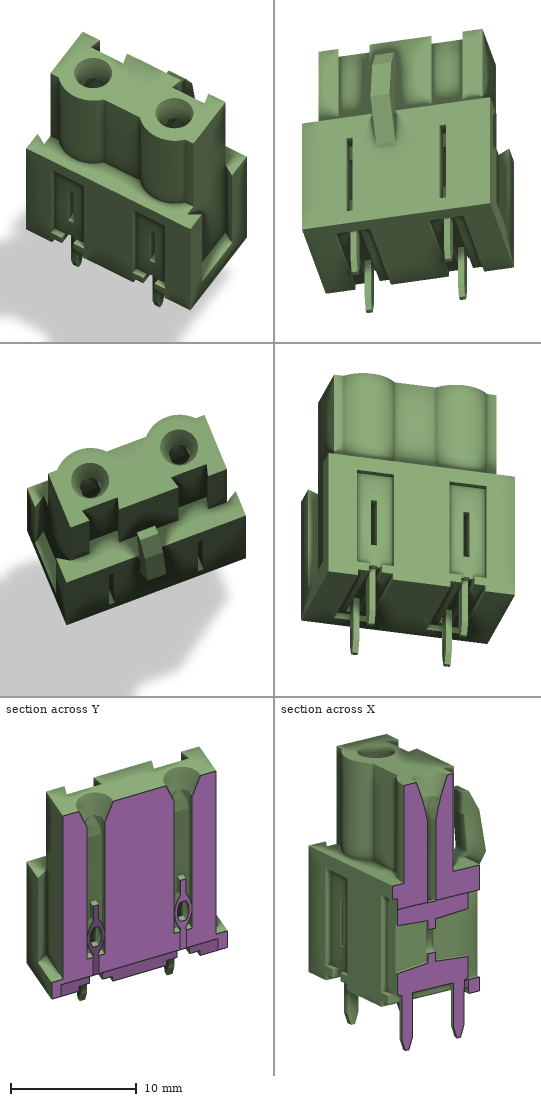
import cadquery as cq


HOUSING_WIDTH = 15.35
HOUSING_DEPTH = 8.53
HOUSING_HEIGHT = 10.69
TOWER_TOP = 18.97
TOWER_WIDTH = 13.36
TOWER_FRONT = 2.05
TOWER_BACK = 6.93

PITCH = 7.6
CONTACT_XS = (-PITCH / 2, PITCH / 2)
SOCKET_Y = 3.85
BARREL_Y = 3.94
BARREL_RADIUS = 2.84

KEYWAY_DEPTH = 1.0
KEYWAY_MOUTH = 2.52
KEYWAY_FLOOR = 3.05

GROOVE_FLOOR_FRONT = BARREL_Y - BARREL_RADIUS
GROOVE_MOUTH_FRONT = 1.73
GROOVE_MOUTH_BACK = 6.3
GROOVE_BOTTOM = 1.8

MOUTH_DIAMETER = 3.02
THROAT_DIAMETER = 1.66
MOUTH_DEPTH = 1.8
FUNNEL_SHOULDER = 1.15
FUNNEL_STEP = 0.9
POCKET_WIDTH = 1.53
POCKET_DEPTH = 0.76

WINDOW_WIDTH = 3.04
WINDOW_TOP = 9.5
WINDOW_DEPTH = 0.5

LATCH_WIDTH = 1.55
LATCH_X = 0.8
LATCH_ROOT_Z = 7.22
LATCH_ROOT_FILLET = 0.45
LATCH_ELBOW_Y = 10.75
LATCH_BEND_Y = 10.1
LATCH_BEND_Z = 14.33
LATCH_TIP_Y = 9.07
LATCH_TOP = 16.13
LATCH_HOOK_Y = 8.37
LATCH_HOOK_ROOT_Y = 8.6
LATCH_INNER_FOOT_Y = 8.93
LATCH_EMBED = 0.68

PLATE_WIDTH = 13.65
PLATE_DEPTH = 7.42
PLATE_HEIGHT = 1.22
PLATE_SLOT_WIDTH = 1.05
PLATE_NOTCH_WIDTH = 2.88
PLATE_NOTCH_HEIGHT = 0.52

CONTACT_THICKNESS = 0.5
CONTACT_FRONT = WINDOW_DEPTH
CONTACT_BACK = PLATE_DEPTH
CONTACT_TOP = 8.55
CONTACT_SHOULDER = 1.35
UPPER_BAR_EDGE = 7.2
UPPER_BAR_BOTTOM = 7.0
LOWER_BAR_EDGE = 3.17
LOWER_BAR_TOP = 3.45
LEG_WIDTH = 1.08
LEG_FRONT = 0.9
LEG_PITCH = 5.05
LEG_TAPER_Z = -2.52
OVERALL_HEIGHT = 22.5
LEG_BOTTOM = TOWER_TOP - OVERALL_HEIGHT
LEG_TIP_WIDTH = 0.38
SPRING_THICKNESS = 0.27
SPRING_NECK = 0.79

LEG_BACK = LEG_FRONT + LEG_PITCH + LEG_WIDTH


def box(width, depth, height, x, front, bottom):
    """Box centred on x that runs back from `front` and up from `bottom`."""
    return (
        cq.Workplane("XY")
        .box(width, depth, height, centered=(True, False, False))
        .translate((x, front, bottom))
    )


def slab_across_x(points, width, x):
    """Outline of (y, z) points given a thickness along X, centred on x."""
    return cq.Workplane("YZ").polyline(points).close().extrude(width / 2, both=True).translate((x, 0, 0))


def make_tower():
    """Raised block with a rounded barrel in front of each socket and a keyway behind it."""
    height = TOWER_TOP - HOUSING_HEIGHT
    tower = box(TOWER_WIDTH, TOWER_BACK - TOWER_FRONT, height, 0, TOWER_FRONT, HOUSING_HEIGHT)
    keyway_floor_y = TOWER_BACK - KEYWAY_DEPTH
    for x in CONTACT_XS:
        barrel = (
            cq.Workplane("XY", origin=(x, BARREL_Y, HOUSING_HEIGHT))
            .circle(BARREL_RADIUS)
            .extrude(height)
        )
        keyway = (
            cq.Workplane("XY", origin=(x, 0, HOUSING_HEIGHT))
            .polyline([
                (-KEYWAY_MOUTH / 2, TOWER_BACK),
                (-KEYWAY_FLOOR / 2, keyway_floor_y),
                (KEYWAY_FLOOR / 2, keyway_floor_y),
                (KEYWAY_MOUTH / 2, TOWER_BACK),
            ])
            .close()
            .extrude(height)
        )
        tower = tower.union(barrel).cut(keyway)
    return tower


def make_end_groove():
    """Dovetail groove at the +X end, widest at its floor and open at the top."""
    return (
        cq.Workplane("XY", origin=(0, 0, GROOVE_BOTTOM))
        .polyline([
            (TOWER_WIDTH / 2, GROOVE_FLOOR_FRONT),
            (HOUSING_WIDTH / 2, GROOVE_MOUTH_FRONT),
            (HOUSING_WIDTH / 2, GROOVE_MOUTH_BACK),
            (TOWER_WIDTH / 2, TOWER_BACK),
        ])
        .close()
        .extrude(HOUSING_HEIGHT - GROOVE_BOTTOM)
    )


def make_latch():
    """Bent latch arm on the back face, with a small hook at its tip."""
    inside_y = HOUSING_DEPTH - LATCH_EMBED
    latch = slab_across_x(
        [
            (inside_y, LATCH_ROOT_Z),
            (HOUSING_DEPTH, LATCH_ROOT_Z),
            (LATCH_ELBOW_Y, HOUSING_HEIGHT),
            (LATCH_BEND_Y, LATCH_BEND_Z),
            (LATCH_TIP_Y, LATCH_TOP),
            (LATCH_HOOK_Y, LATCH_TOP),
            (LATCH_HOOK_Y, LATCH_BEND_Z),
            (LATCH_HOOK_ROOT_Y, LATCH_BEND_Z),
            (LATCH_INNER_FOOT_Y, HOUSING_HEIGHT),
            (inside_y, HOUSING_HEIGHT),
        ],
        LATCH_WIDTH,
        LATCH_X,
    )
    root_corner = cq.selectors.NearestToPointSelector((LATCH_X, LATCH_INNER_FOOT_Y, HOUSING_HEIGHT))
    return latch.edges("|X").edges(root_corner).fillet(LATCH_ROOT_FILLET)


def make_socket(x):
    """Conical mouth, then a funnel that narrows front to back into the spring pocket."""
    throat_z = TOWER_TOP - MOUTH_DEPTH
    throat_centre = cq.Vector(x, SOCKET_Y, throat_z)
    mouth = cq.Workplane(
        cq.Solid.makeCone(THROAT_DIAMETER / 2, MOUTH_DIAMETER / 2, MOUTH_DEPTH, throat_centre)
    )
    shoulder_z = throat_z - FUNNEL_STEP
    neck_z = shoulder_z - FUNNEL_STEP
    funnel = slab_across_x(
        [
            (SOCKET_Y - THROAT_DIAMETER / 2, throat_z),
            (SOCKET_Y - FUNNEL_SHOULDER / 2, shoulder_z),
            (SOCKET_Y - POCKET_DEPTH / 2, neck_z),
            (SOCKET_Y + POCKET_DEPTH / 2, neck_z),
            (SOCKET_Y + FUNNEL_SHOULDER / 2, shoulder_z),
            (SOCKET_Y + THROAT_DIAMETER / 2, throat_z),
        ],
        POCKET_WIDTH,
        x,
    )
    throat = (
        cq.Workplane("XY", origin=(x, SOCKET_Y, neck_z))
        .circle(THROAT_DIAMETER / 2)
        .extrude(throat_z - neck_z)
    )
    pocket = box(
        POCKET_WIDTH, POCKET_DEPTH, neck_z - LOWER_BAR_EDGE,
        x, SOCKET_Y - POCKET_DEPTH / 2, LOWER_BAR_EDGE,
    )
    return mouth.union(funnel.intersect(throat)).union(pocket)


def make_housing():
    """Housing block with tower, latch, end grooves and everything cut for the other bodies."""
    housing = box(HOUSING_WIDTH, HOUSING_DEPTH, HOUSING_HEIGHT, 0, 0, 0)
    housing = housing.union(make_tower()).union(make_latch())

    groove = make_end_groove()
    housing = housing.cut(groove).cut(groove.mirror("YZ"))

    plate_recess = box(PLATE_WIDTH, PLATE_DEPTH, PLATE_HEIGHT, 0, 0, 0)
    housing = housing.cut(plate_recess)

    for x in CONTACT_XS:
        window = box(WINDOW_WIDTH, WINDOW_DEPTH, WINDOW_TOP - PLATE_HEIGHT, x, 0, PLATE_HEIGHT)
        contact_slot = box(CONTACT_THICKNESS, HOUSING_DEPTH, CONTACT_TOP - PLATE_HEIGHT, x, 0, PLATE_HEIGHT)
        housing = housing.cut(window).cut(contact_slot).cut(make_socket(x))
    return housing


def make_base_plate():
    """Plate flush with the front face, slotted for the contact legs and relieved below each slot."""
    plate = box(PLATE_WIDTH, PLATE_DEPTH, PLATE_HEIGHT, 0, 0, 0)
    for x in CONTACT_XS:
        slot = box(PLATE_SLOT_WIDTH, LEG_BACK, PLATE_HEIGHT, x, 0, 0)
        notch = box(PLATE_NOTCH_WIDTH, PLATE_DEPTH, PLATE_NOTCH_HEIGHT, x, 0, 0)
        plate = plate.cut(slot).cut(notch)
    return plate


def make_leg(x, front):
    """Flat leg with a tapered tip."""
    middle = front + LEG_WIDTH / 2
    return slab_across_x(
        [
            (front, CONTACT_SHOULDER),
            (front, LEG_TAPER_Z),
            (middle - LEG_TIP_WIDTH / 2, LEG_BOTTOM),
            (middle + LEG_TIP_WIDTH / 2, LEG_BOTTOM),
            (front + LEG_WIDTH, LEG_TAPER_Z),
            (front + LEG_WIDTH, CONTACT_SHOULDER),
        ],
        CONTACT_THICKNESS,
        x,
    )


def spring_outline(x, bow, bottom, top):
    """Solid barrel shape, `bow` from the middle to each side and as wide as the bars at its ends."""
    half = CONTACT_THICKNESS / 2
    middle_z = (bottom + top) / 2
    return (
        cq.Workplane("XZ", origin=(x, SOCKET_Y, 0))
        .moveTo(half, top)
        .lineTo(-half, top)
        .threePointArc((-bow, middle_z), (-half, bottom))
        .lineTo(half, bottom)
        .threePointArc((bow, middle_z), (half, top))
        .close()
        .extrude(POCKET_DEPTH / 2, both=True)
    )


def make_spring(x):
    """Closed loop that joins the two bars, with a leaf bowed out to each side."""
    bow = POCKET_WIDTH / 2
    loop = spring_outline(x, bow, LOWER_BAR_TOP, UPPER_BAR_BOTTOM)
    opening = spring_outline(
        x, bow - SPRING_THICKNESS, LOWER_BAR_TOP + SPRING_NECK, UPPER_BAR_BOTTOM - SPRING_NECK
    )
    return loop.cut(opening)


def make_contact(x):
    """Upper and lower bars joined by the spring, with two legs below."""
    leaf_front = SOCKET_Y - POCKET_DEPTH / 2
    leaf_back = SOCKET_Y + POCKET_DEPTH / 2
    upper_bar = slab_across_x(
        [
            (CONTACT_FRONT, CONTACT_TOP),
            (CONTACT_FRONT, UPPER_BAR_EDGE),
            (leaf_front, UPPER_BAR_BOTTOM),
            (leaf_back, UPPER_BAR_BOTTOM),
            (CONTACT_BACK, UPPER_BAR_EDGE),
            (CONTACT_BACK, CONTACT_TOP),
        ],
        CONTACT_THICKNESS,
        x,
    )
    lower_bar = slab_across_x(
        [
            (CONTACT_FRONT, LOWER_BAR_EDGE),
            (CONTACT_FRONT, CONTACT_SHOULDER),
            (LEG_FRONT, PLATE_HEIGHT),
            (LEG_BACK, PLATE_HEIGHT),
            (CONTACT_BACK, CONTACT_SHOULDER),
            (CONTACT_BACK, LOWER_BAR_EDGE),
            (leaf_back, LOWER_BAR_TOP),
            (leaf_front, LOWER_BAR_TOP),
        ],
        CONTACT_THICKNESS,
        x,
    )
    contact = upper_bar.union(make_spring(x)).union(lower_bar)
    for front in (LEG_FRONT, LEG_FRONT + LEG_PITCH):
        contact = contact.union(make_leg(x, front))
    return contact


housing = make_housing()
base_plate = make_base_plate()
contacts = [make_contact(x) for x in CONTACT_XS]

result = cq.Compound.makeCompound([
    housing.solids().val(),
    base_plate.solids().val(),
    *[contact.solids().val() for contact in contacts],
])